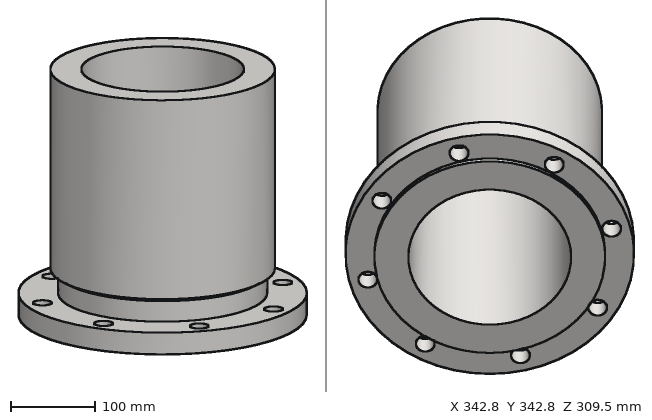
import cadquery as cq

flange_diameter = 342.8
flange_thickness = 27.0
total_height = 309.5
raised_face_diameter = 274.2
raised_face_height = 6.0

body_diameter = 267.0
neck_diameter = 249.0
neck_top = 58.5
bevel_height = 5.0
bore_diameter = 193.5

bolt_count = 8
bolt_circle_diameter = 298.5
bolt_hole_diameter = 22.3

flange_top = raised_face_height + flange_thickness


def revolved_body():
    """Solid of revolution: raised face, flange, neck, bevel and pipe body."""
    raised_face_radius = raised_face_diameter / 2
    flange_radius = flange_diameter / 2
    neck_radius = neck_diameter / 2
    body_radius = body_diameter / 2
    bore_radius = bore_diameter / 2
    profile = [
        (bore_radius, 0),
        (raised_face_radius, 0),
        (raised_face_radius, raised_face_height),
        (flange_radius, raised_face_height),
        (flange_radius, flange_top),
        (neck_radius, flange_top),
        (neck_radius, neck_top),
        (body_radius, neck_top + bevel_height),
        (body_radius, total_height),
        (bore_radius, total_height),
    ]
    return cq.Workplane("XZ").polyline(profile).close().revolve(360, (0, 0, 0), (0, 1, 0))


def bolt_holes():
    """Cutters for the evenly spaced bolt holes through the flange."""
    return (
        cq.Workplane("XY")
        .polarArray(bolt_circle_diameter / 2, 0, 360, bolt_count)
        .circle(bolt_hole_diameter / 2)
        .extrude(flange_top)
    )


result = revolved_body().cut(bolt_holes())